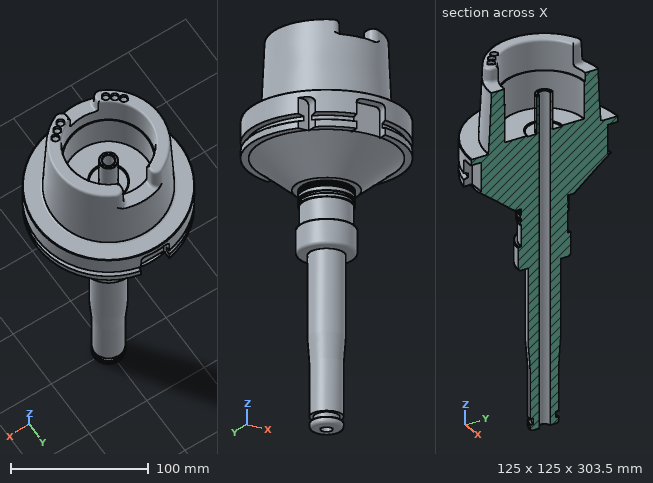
import cadquery as cq
import math

TOLERANCE = 0.01

SHANK_LENGTH = 62.5
SHANK_TOP_RADIUS = 45.0
SHANK_BASE_RADIUS = 47.9
SHANK_BASE_Z = 2.0
RIM_FILLET = 2.0
FLARE_RADIUS = 49.5
FLARE_HEIGHT = 0.5

FLANGE_RADIUS = 62.5
FLANGE_BOTTOM_Z = -29.0
FLANGE_CHAMFER = 0.5
GROOVE_RADIUS = 58.8
GROOVE_CENTER_Z = -20.5
GROOVE_FLOOR_HALF = 1.6
GROOVE_FLANK_ANGLE = 20.0

CONE_TOP_RADIUS = 56.6
CONE_BOTTOM_RADIUS = 25.2
CONE_BOTTOM_Z = -54.0

NECK_RADIUS = 19.9
RING_RADIUS = 20.8
RING_CHAMFER = 0.3
RING_SPANS = [(-54.5, -56.0), (-56.6, -57.9), (-58.3, -62.2), (-64.0, -67.0)]
COLLAR_RADIUS = 22.5
COLLAR_TOP_Z = -84.8
COLLAR_BOTTOM_Z = -105.0
COLLAR_TOP_CHAMFER = 0.7
COLLAR_FILLET = 2.5

ARBOR_RADIUS = 14.0
ARBOR_TAPER_TOP_Z = -169.7
ARBOR_TAPER_BOTTOM_Z = -190.0
TIP_RADIUS = 12.5
TIP_BOTTOM_Z = -231.2
TIP_GROOVE_RADIUS = 9.75
HEAD_TOP_Z = -235.6
HEAD_CHAMFER = 0.8
HEAD_FILLET = 2.6
PART_BOTTOM_Z = -241.0

BORE_RADIUS = 33.5
ENTRY_RADIUS = 34.2
ENTRY_ROUNDING = 1.8
ENTRY_BOTTOM_Z = 37.0
BORE_FLOOR_Z = 6.0
THREAD_RADIUS = 28.38 / 2
THREAD_CHAMFER_RADIUS = 15.0
TUBE_RADIUS = 7.0
TUBE_TOP_Z = 37.0
TUBE_CHAMFER = 0.5
COOLANT_RADIUS = 4.5

NOTCH_HALF_WIDTH = 12.2
NOTCH_FLOOR_FILLET = 2.5
NOTCH_DEPTH_FRONT = 12.0
NOTCH_DEPTH_BACK = 18.4
FINGER_FILLET = 5.2

SPOT_RADIUS = 3.0
SPOT_DEPTH = 3.0
SPOT_TIP_ANGLE = 118.0
SPOT_CIRCLE_RADIUS = 38.7
SPOT_CENTER_ANGLE = 49.5
SPOT_PITCH_ANGLE = 9.9

KEY_HALF_WIDTH = 12.2
KEY_FLOOR_Y = 54.0
KEY_TOP_Z = -5.2
KEY_CORNER_RADIUS = 4.0
CORNER_OFFSET = 39.4
CORNER_FILLET = 5.0


def make_body():
    """Shank, flange and cone as one solid of revolution."""
    flank = (FLANGE_RADIUS - GROOVE_RADIUS) * math.tan(math.radians(GROOVE_FLANK_ANGLE))
    groove_half = GROOVE_FLOOR_HALF + flank
    profile = (
        cq.Workplane("XZ")
        .moveTo(0, SHANK_LENGTH)
        .lineTo(SHANK_TOP_RADIUS, SHANK_LENGTH)
        .lineTo(SHANK_BASE_RADIUS, SHANK_BASE_Z)
        .lineTo(SHANK_BASE_RADIUS, FLARE_HEIGHT)
        .lineTo(FLARE_RADIUS, 0)
        .lineTo(FLANGE_RADIUS - FLANGE_CHAMFER, 0)
        .lineTo(FLANGE_RADIUS, -FLANGE_CHAMFER)
        .lineTo(FLANGE_RADIUS, GROOVE_CENTER_Z + groove_half)
        .lineTo(GROOVE_RADIUS, GROOVE_CENTER_Z + GROOVE_FLOOR_HALF)
        .lineTo(GROOVE_RADIUS, GROOVE_CENTER_Z - GROOVE_FLOOR_HALF)
        .lineTo(FLANGE_RADIUS, GROOVE_CENTER_Z - groove_half)
        .lineTo(FLANGE_RADIUS, FLANGE_BOTTOM_Z)
        .lineTo(CONE_TOP_RADIUS, FLANGE_BOTTOM_Z)
        .lineTo(CONE_BOTTOM_RADIUS, CONE_BOTTOM_Z)
        .lineTo(0, CONE_BOTTOM_Z)
        .close()
    )
    return profile.revolve()


def cylinder(radius, top_z, bottom_z):
    """Solid cylinder on the part axis."""
    return cq.Workplane("XY", origin=(0, 0, bottom_z)).circle(radius).extrude(top_z - bottom_z)


def make_arbor():
    """Ringed neck, collar, stepped rod and grooved tip below the cone."""
    neck = cylinder(NECK_RADIUS, CONE_BOTTOM_Z, COLLAR_TOP_Z)
    for top_z, bottom_z in RING_SPANS:
        ring = cylinder(RING_RADIUS, top_z, bottom_z)
        neck = neck.union(ring.faces("<Z or >Z").edges().chamfer(RING_CHAMFER))

    collar = cylinder(COLLAR_RADIUS, COLLAR_TOP_Z, COLLAR_BOTTOM_Z)
    collar = collar.faces(">Z").edges().chamfer(COLLAR_TOP_CHAMFER)
    collar = collar.faces("<Z").edges().fillet(COLLAR_FILLET)

    rod = (
        cq.Workplane("XZ")
        .moveTo(0, COLLAR_BOTTOM_Z)
        .lineTo(ARBOR_RADIUS, COLLAR_BOTTOM_Z)
        .lineTo(ARBOR_RADIUS, ARBOR_TAPER_TOP_Z)
        .lineTo(TIP_RADIUS, ARBOR_TAPER_BOTTOM_Z)
        .lineTo(TIP_RADIUS, TIP_BOTTOM_Z)
        .lineTo(TIP_GROOVE_RADIUS, TIP_BOTTOM_Z)
        .lineTo(TIP_GROOVE_RADIUS, HEAD_TOP_Z)
        .lineTo(0, HEAD_TOP_Z)
        .close()
        .revolve()
    )

    head = cylinder(TIP_RADIUS, HEAD_TOP_Z, PART_BOTTOM_Z)
    head = head.faces(">Z").edges().chamfer(HEAD_CHAMFER)
    head = head.faces("<Z").edges().fillet(HEAD_FILLET)
    return neck.union(collar).union(rod).union(head)


def cut_rim_notches(body):
    """Cut a notch on the -Y and +Y sides, then round the fingers left between them."""
    floor_levels = []
    for side, depth in ((-1, NOTCH_DEPTH_FRONT), (1, NOTCH_DEPTH_BACK)):
        floor_z = SHANK_LENGTH - depth
        notch = cq.Workplane("XY").box(2 * NOTCH_HALF_WIDTH, FLANGE_RADIUS, depth)
        body = body.cut(notch.translate((0, side * FLANGE_RADIUS / 2, floor_z + depth / 2)))
        floor_levels.append(floor_z)

    def is_finger_corner(edge):
        center = edge.Center()
        on_wall = abs(abs(center.x) - NOTCH_HALF_WIDTH) < TOLERANCE
        is_tall = edge.BoundingBox().zlen > NOTCH_DEPTH_FRONT / 2
        near_outside = abs(center.y) > BORE_RADIUS
        return on_wall and near_outside and is_tall

    def is_floor_corner(edge):
        center = edge.Center()
        on_floor = edge.BoundingBox().zlen < TOLERANCE and any(
            abs(center.z - level) < TOLERANCE for level in floor_levels
        )
        beside_wall = abs(center.x) > NOTCH_HALF_WIDTH - TOLERANCE
        inside_shank = math.hypot(center.x, center.y) < SHANK_TOP_RADIUS
        return on_floor and beside_wall and inside_shank

    corners = [edge for edge in body.edges().vals() if is_finger_corner(edge)]
    body = body.newObject(corners).fillet(FINGER_FILLET)
    corners = [edge for edge in body.edges().vals() if is_floor_corner(edge)]
    body = body.newObject(corners).fillet(NOTCH_FLOOR_FILLET)
    return body.faces(">Z").edges().fillet(RIM_FILLET)


def make_bore():
    """Cutter for the shank cavity, leaving the coolant tube standing on its floor."""
    rounding_center_x = ENTRY_RADIUS + ENTRY_ROUNDING
    rounding_bottom_z = SHANK_LENGTH - ENTRY_ROUNDING
    arc_reach = ENTRY_ROUNDING * math.sqrt(0.5)
    arc_mid = (rounding_center_x - arc_reach, rounding_bottom_z + arc_reach)
    thread_bottom_z = BORE_FLOOR_Z - (THREAD_CHAMFER_RADIUS - THREAD_RADIUS)
    return (
        cq.Workplane("XZ")
        .moveTo(0, SHANK_LENGTH)
        .lineTo(rounding_center_x, SHANK_LENGTH)
        .threePointArc(arc_mid, (ENTRY_RADIUS, rounding_bottom_z))
        .lineTo(ENTRY_RADIUS, ENTRY_BOTTOM_Z)
        .lineTo(BORE_RADIUS, ENTRY_BOTTOM_Z)
        .lineTo(BORE_RADIUS, BORE_FLOOR_Z)
        .lineTo(THREAD_CHAMFER_RADIUS, BORE_FLOOR_Z)
        .lineTo(THREAD_RADIUS, thread_bottom_z)
        .lineTo(TUBE_RADIUS, thread_bottom_z)
        .lineTo(TUBE_RADIUS, TUBE_TOP_Z - TUBE_CHAMFER)
        .lineTo(TUBE_RADIUS - TUBE_CHAMFER, TUBE_TOP_Z)
        .lineTo(COOLANT_RADIUS + TUBE_CHAMFER, TUBE_TOP_Z)
        .lineTo(COOLANT_RADIUS, TUBE_TOP_Z - TUBE_CHAMFER)
        .lineTo(COOLANT_RADIUS, PART_BOTTOM_Z)
        .lineTo(0, PART_BOTTOM_Z)
        .close()
        .revolve()
    )


def make_spot():
    """Drilled blind hole with a conical tip, its mouth at the origin."""
    tip_height = SPOT_RADIUS / math.tan(math.radians(SPOT_TIP_ANGLE / 2))
    return (
        cq.Workplane("XZ")
        .moveTo(0, 0)
        .lineTo(SPOT_RADIUS, 0)
        .lineTo(SPOT_RADIUS, -SPOT_DEPTH)
        .lineTo(0, -SPOT_DEPTH - tip_height)
        .close()
        .revolve()
    )


def make_spots():
    """Three spots on each -Y rim end, mirrored about the YZ plane."""
    spots = cq.Workplane("XY")
    for side in (-1, 1):
        for step in (-1, 0, 1):
            angle = math.radians(SPOT_CENTER_ANGLE + step * SPOT_PITCH_ANGLE)
            x = side * SPOT_CIRCLE_RADIUS * math.cos(angle)
            y = -SPOT_CIRCLE_RADIUS * math.sin(angle)
            spots = spots.add(make_spot().translate((x, y, SHANK_LENGTH)))
    return spots.combine()


def make_key_slots():
    """Keyways with flat floors on the +Y and -Y sides, ending at the flange underside."""
    height = KEY_TOP_Z - FLANGE_BOTTOM_Z
    depth = FLANGE_RADIUS - KEY_FLOOR_Y
    slot = (
        cq.Workplane("XY", origin=(0, KEY_FLOOR_Y + depth / 2, FLANGE_BOTTOM_Z))
        .box(2 * KEY_HALF_WIDTH, depth, height, centered=(True, True, False))
        .faces(">Z").edges("|Y").fillet(KEY_CORNER_RADIUS)
    )
    return slot.union(slot.mirror("XZ"))


def make_corner_notch():
    """Square step in the (-X, -Y) flange corner with a rounded ceiling edge."""
    size = FLANGE_RADIUS - CORNER_OFFSET
    height = KEY_TOP_Z - FLANGE_BOTTOM_Z
    return (
        cq.Workplane("XY", origin=(-FLANGE_RADIUS, -FLANGE_RADIUS, FLANGE_BOTTOM_Z))
        .box(size, size, height, centered=False)
        .edges(">X and >Z").fillet(CORNER_FILLET)
    )


body = make_body()
body = cut_rim_notches(body)
body = body.cut(make_key_slots()).cut(make_corner_notch())
body = body.union(make_arbor())
result = body.cut(make_bore()).cut(make_spots())